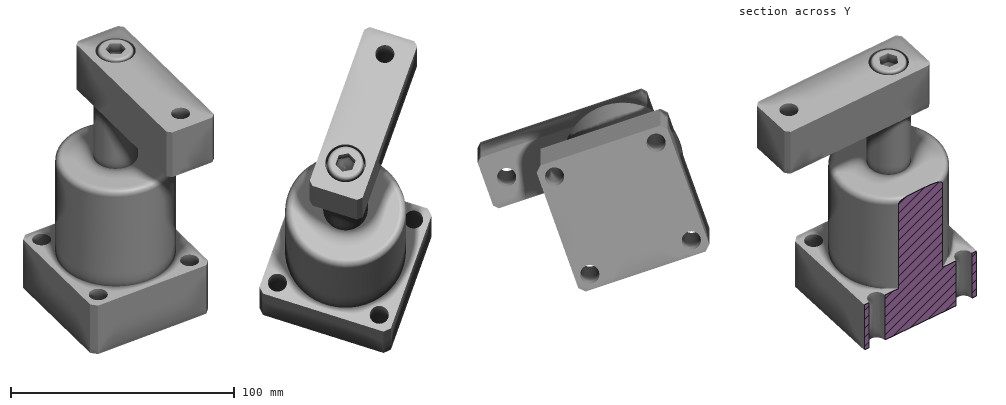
import cadquery as cq
import math

total_height = 139.6

flange_side = 62.0
flange_height = 27.1
flange_corner_diameter = 84.0
flange_hole_spacing = 48.0
mounting_hole_diameter = 8.5
barrel_diameter = 54.0
barrel_top = 80.0
barrel_fillet = 3.0

arm_width = 25.0
arm_height = 25.0
arm_back = 15.0
arm_reach = 65.0
arm_chamfer = 2.0
arm_hole_distance = 55.0
arm_hole_diameter = mounting_hole_diameter
counterbore_diameter = 18.0

head_diameter = 16.0
head_height = 10.0
head_protrusion = 1.0
head_fillet = 1.4
shank_diameter = 10.0
shank_engagement = 15.0
socket_sides = 6
socket_across_flats = 8.0
socket_depth = 5.0
socket_tip_angle = 120.0

rod_diameter = 20.0

arm_top = total_height - head_protrusion
arm_bottom = arm_top - arm_height
head_bottom = total_height - head_height
counterbore_depth = arm_top - head_bottom
shank_bottom = arm_bottom - shank_engagement
socket_across_corners = socket_across_flats / math.cos(math.pi / socket_sides)


def cylinder(diameter, bottom, top):
    """Upright cylinder on the rod axis between two levels."""
    return cq.Workplane("XY").workplane(offset=bottom).circle(diameter / 2).extrude(top - bottom)


def make_housing():
    """Square flange with corners turned about the rod axis, four mounting holes and a rounded barrel."""
    square = cq.Workplane("XY").rect(flange_side, flange_side).extrude(flange_height)
    flange = square.intersect(cylinder(flange_corner_diameter, 0, flange_height))
    barrel = cylinder(barrel_diameter, 0, barrel_top).faces(">Z").edges().fillet(barrel_fillet)
    mounting_holes = (
        cq.Workplane("XY")
        .rect(flange_hole_spacing, flange_hole_spacing, forConstruction=True)
        .vertices()
        .circle(mounting_hole_diameter / 2)
        .extrude(flange_height)
    )
    return flange.union(barrel).cut(mounting_holes)


def make_rod():
    """Plain rod between the barrel and the arm, bored for the screw shank."""
    rod = cylinder(rod_diameter, barrel_top, arm_bottom)
    return rod.cut(cylinder(shank_diameter, shank_bottom, arm_bottom))


def make_arm():
    """Rectangular arm with a counterbored screw hole and a plain hole at its free end."""
    bar = (
        cq.Workplane("XY")
        .workplane(offset=arm_bottom)
        .center((arm_reach - arm_back) / 2, 0)
        .rect(arm_reach + arm_back, arm_width)
        .extrude(arm_height)
        .edges("|Z")
        .chamfer(arm_chamfer)
    )
    top_plane = cq.Workplane("XY", origin=(0, 0, arm_top))
    end_hole = top_plane.center(arm_hole_distance, 0).circle(arm_hole_diameter / 2).extrude(-arm_height)
    counterbore = top_plane.circle(counterbore_diameter / 2).extrude(-counterbore_depth)
    shank_hole = cylinder(shank_diameter, arm_bottom, arm_top)
    return bar.cut(end_hole).cut(counterbore).cut(shank_hole)


def make_screw():
    """Cap screw with a rounded head and a hexagon socket that ends in a drill cone."""
    head = cylinder(head_diameter, head_bottom, total_height).faces(">Z").edges().fillet(head_fillet)
    shank = cylinder(shank_diameter, shank_bottom, head_bottom)
    socket = (
        cq.Workplane("XY", origin=(0, 0, total_height))
        .polygon(socket_sides, socket_across_corners)
        .extrude(-socket_depth)
    )
    cone_radius = socket_across_flats / 2
    cone_depth = cone_radius / math.tan(math.radians(socket_tip_angle / 2))
    socket_floor = total_height - socket_depth
    drill_cone = (
        cq.Workplane("XZ", origin=(0, 0, socket_floor))
        .polyline([(0, 0), (cone_radius, 0), (0, -cone_depth)])
        .close()
        .revolve(360, (0, 0), (0, 1))
    )
    return head.union(shank).cut(socket).cut(drill_cone)


housing = make_housing()
rod = make_rod()
arm = make_arm()
screw = make_screw()

result = cq.Compound.makeCompound([housing.val(), rod.val(), arm.val(), screw.val()])